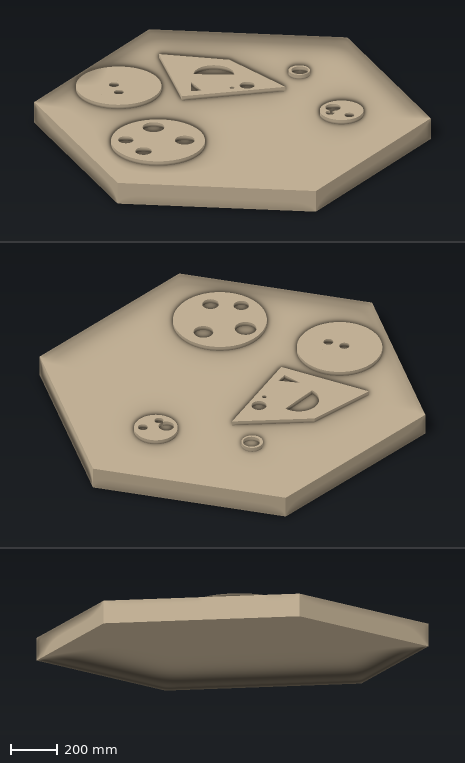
import cadquery as cq
import math

BASE_ACROSS_CORNERS = 1720.0
BASE_THICKNESS = 100.0
PLATE_THICKNESS = 20.0

LEFT_DISC = (-515.0, -124.0, 370.0)
LEFT_PLAIN_INSERT = (-576.0, -31.0, 141.0)
LEFT_LARGE_INSERT = (-509.0, -160.0, 162.0)
LEFT_SMALL_INSERT = (-531.0, -136.0, 75.0)
FRONT_DISC = (-70.0, -458.0, 406.0)
FRONT_INSERT = (-65.0, -557.0, 155.0)
SMALL_DISC = (410.0, 237.0, 190.0)
RING = (36.0, 449.0, 93.0)

LEFT_LARGE_INSERT_HOLE = (-478.0, -174.0, 43.0)
LEFT_SMALL_INSERT_HOLE = (-537.0, -127.0, 45.0)
FRONT_DISC_HOLES = [(-160.0, -365.0, 95.0), (22.0, -389.0, 86.0), (-187.0, -533.0, 67.0)]
FRONT_INSERT_HOLE = (-62.0, -578.0, 72.0)
SMALL_DISC_HOLES = [(363.0, 239.0, 67.0), (382.0, 191.0, 40.0), (463.0, 220.0, 43.0)]
RING_HOLE = (40.0, 449.0, 74.0)
KITE_HOLES = [(-64.0, 200.0, 65.0), (-103.0, 143.0, 20.0)]

KITE_CORNERS = [(-549.0, 225.0), (-268.0, 356.0), (80.0, 282.0), (-232.0, -50.0)]
TRIANGLE_CORNERS = [(-280.0, 86.0), (-193.0, 45.0), (-230.0, 14.0)]
HALF_ROUND_START = (-315.0, 153.0)
HALF_ROUND_END = (-167.0, 251.0)


def plate_plane():
    """Workplane on the top face of the base, where every plate rests."""
    return cq.Workplane("XY").workplane(offset=BASE_THICKNESS)


def disc(circle):
    """Solid round plate from its centre and diameter."""
    x, y, diameter = circle
    return plate_plane().center(x, y).circle(diameter / 2).extrude(PLATE_THICKNESS)


def prism(corners):
    """Straight-sided plate from its corner points."""
    return plate_plane().polyline(corners).close().extrude(PLATE_THICKNESS)


def drilled(plate, holes):
    """Plate with round openings cut through it."""
    for hole in holes:
        plate = plate.cut(disc(hole))
    return plate


def half_round():
    """Half disc whose flat side joins the two end points."""
    (x0, y0), (x1, y1) = HALF_ROUND_START, HALF_ROUND_END
    radius = math.hypot(x1 - x0, y1 - y0) / 2
    chord_angle = math.atan2(y1 - y0, x1 - x0)
    crown_angle = chord_angle + math.pi / 2
    crown = (
        (x0 + x1) / 2 + radius * math.cos(crown_angle),
        (y0 + y1) / 2 + radius * math.sin(crown_angle),
    )
    outline = plate_plane().moveTo(x0, y0).threePointArc(crown, HALF_ROUND_END).close()
    return outline.extrude(PLATE_THICKNESS)


base = (
    cq.Workplane("XY")
    .polygon(6, BASE_ACROSS_CORNERS)
    .extrude(BASE_THICKNESS)
    .rotate((0, 0, 0), (0, 0, 1), 90)
)

left_disc = drilled(disc(LEFT_DISC), [LEFT_PLAIN_INSERT, LEFT_LARGE_INSERT])
left_plain_insert = drilled(disc(LEFT_PLAIN_INSERT), [LEFT_LARGE_INSERT])
left_large_insert = drilled(disc(LEFT_LARGE_INSERT), [LEFT_SMALL_INSERT, LEFT_LARGE_INSERT_HOLE])
left_small_insert = drilled(disc(LEFT_SMALL_INSERT), [LEFT_SMALL_INSERT_HOLE])

front_disc = drilled(disc(FRONT_DISC), [*FRONT_DISC_HOLES, FRONT_INSERT])
front_insert = drilled(disc(FRONT_INSERT), [FRONT_INSERT_HOLE])

small_disc = drilled(disc(SMALL_DISC), SMALL_DISC_HOLES)

ring = drilled(disc(RING), [RING_HOLE])

kite_plate = drilled(prism(KITE_CORNERS), KITE_HOLES)
kite_plate = kite_plate.cut(prism(TRIANGLE_CORNERS)).cut(half_round())

result = cq.Compound.makeCompound([
    *base.solids().vals(),
    *left_disc.solids().vals(),
    *left_plain_insert.solids().vals(),
    *left_large_insert.solids().vals(),
    *left_small_insert.solids().vals(),
    *front_disc.solids().vals(),
    *front_insert.solids().vals(),
    *small_disc.solids().vals(),
    *ring.solids().vals(),
    *kite_plate.solids().vals(),
])